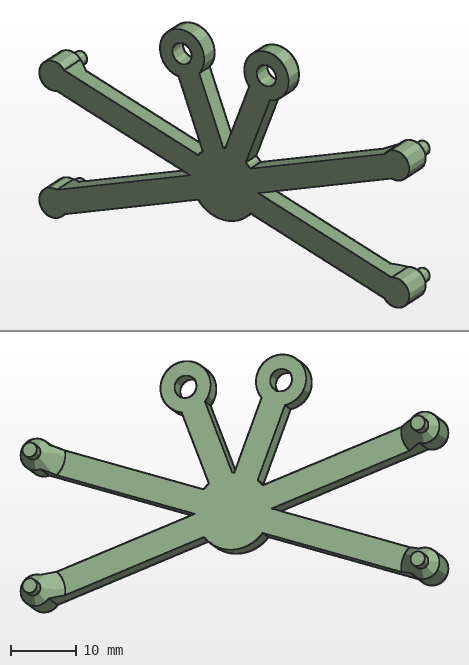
import cadquery as cq
import math

plate_thickness = 3.0
arm_width = 4.0
hub_radius = 6.0

foot_radius = 2.5
foot_x = 33.5 - foot_radius
foot_z = 10.65
foot_height = 4.7
pin_radius = 1.15
pin_tip = 8.0
cone_top = foot_height + foot_radius - pin_radius

skirt_radius = foot_radius + foot_height - plate_thickness

eye_radius = 4.0
eye_hole_radius = 1.75
eye_x = 7.65
eye_z = 20.0


def disc(x, z, radius, height):
    """Cylinder standing on the plate's front face (Y = 0)."""
    return cq.Workplane("XZ").center(x, z).circle(radius).extrude(-height)


def place_along_arm(body, x, z):
    """Turn a body built along +X so that it points from the hub to (x, z)."""
    angle = math.degrees(math.atan2(z, x))
    return body.rotate((0, 0, 0), (0, 1, 0), -angle)


def bar(x, z, height):
    """Straight bar of arm width from the hub centre to (x, z)."""
    length = math.hypot(x, z)
    body = cq.Workplane("XY").box(length, height, arm_width, centered=(False, False, True))
    return place_along_arm(body, x, z)


def flared_post(x, z):
    """Pin on a 45 degree cone that widens to the skirt radius at the plate's back face."""
    profile = [
        (0, 0),
        (skirt_radius, 0),
        (skirt_radius, plate_thickness),
        (pin_radius, cone_top),
        (pin_radius, pin_tip),
        (0, pin_tip),
    ]
    body = cq.Workplane("XY").polyline(profile).close().revolve(360, (0, 0, 0), (0, 1, 0))
    return body.translate((x, 0, z))


def foot_arm(x, z):
    """Arm with its foot; the flare is kept only over the arm, where it forms a gusset."""
    envelope = disc(x, z, foot_radius, pin_tip).union(bar(x, z, pin_tip))
    foot = flared_post(x, z).intersect(envelope)
    return bar(x, z, plate_thickness).union(foot)


result = disc(0, 0, hub_radius, plate_thickness)

for side in (-1, 1):
    for level in (-1, 1):
        result = result.union(foot_arm(side * foot_x, level * foot_z))

    result = result.union(bar(side * eye_x, eye_z, plate_thickness))
    result = result.union(disc(side * eye_x, eye_z, eye_radius, plate_thickness))
    result = result.cut(disc(side * eye_x, eye_z, eye_hole_radius, plate_thickness))